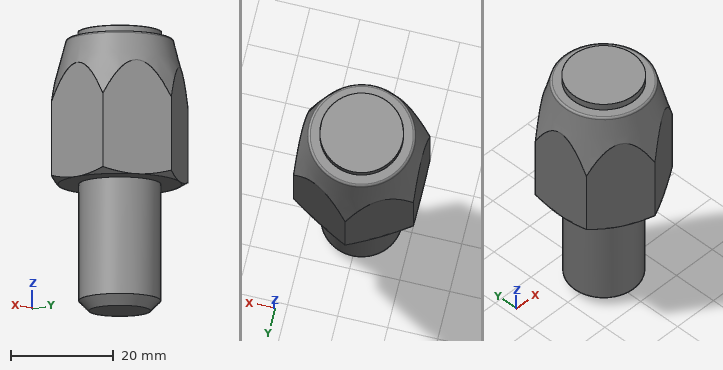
import cadquery as cq
import math

ACROSS_FLATS = 24.0
CORNER_RADIUS = ACROSS_FLATS / math.sqrt(3)
OVERALL_LENGTH = 55.0

SHANK_LENGTH = 25.0
SHANK_DIAMETER = 16.0
SHANK_CHAMFER = 2.0

INSERT_DIAMETER = 16.3
INSERT_HEIGHT = 1.5
BODY_HEIGHT = OVERALL_LENGTH - SHANK_LENGTH - INSERT_HEIGHT

NOSE_RADIUS = 10.4
NOSE_HALF_ANGLE = 15.0
RIM_FILLET = 0.5

BASE_RADIUS = ACROSS_FLATS / 2
BASE_CHAMFER_ANGLE = 30.0


def turned_envelope():
    """Solid of revolution that trims both ends of the hexagon."""
    nose_length = (CORNER_RADIUS - NOSE_RADIUS) / math.tan(math.radians(NOSE_HALF_ANGLE))
    chamfer_height = (CORNER_RADIUS - BASE_RADIUS) * math.tan(math.radians(BASE_CHAMFER_ANGLE))
    profile = (
        cq.Workplane("XZ")
        .lineTo(BASE_RADIUS, 0)
        .lineTo(CORNER_RADIUS, chamfer_height)
        .lineTo(CORNER_RADIUS, BODY_HEIGHT - nose_length)
        .lineTo(NOSE_RADIUS, BODY_HEIGHT)
        .lineTo(0, BODY_HEIGHT)
        .close()
    )
    envelope = profile.revolve(360, (0, 0, 0), (0, 1, 0))
    return envelope.faces(">Z").edges().fillet(RIM_FILLET)


def hexagon_body():
    """Hexagon with flats facing +X and -X, trimmed by the turned envelope."""
    hexagon = (
        cq.Workplane("XY")
        .transformed(rotate=(0, 0, 90))
        .polygon(6, 2 * CORNER_RADIUS)
        .extrude(BODY_HEIGHT)
    )
    return hexagon.intersect(turned_envelope())


def shank():
    """Round shank below the hexagon, chamfered at its free end."""
    cylinder = cq.Workplane("XY").circle(SHANK_DIAMETER / 2).extrude(-SHANK_LENGTH)
    return cylinder.faces("<Z").chamfer(SHANK_CHAMFER)


def insert():
    """Flat round insert on the upper face of the body."""
    top_plane = cq.Workplane("XY", origin=(0, 0, BODY_HEIGHT))
    return top_plane.circle(INSERT_DIAMETER / 2).extrude(INSERT_HEIGHT)


result = hexagon_body().union(shank()).union(insert())